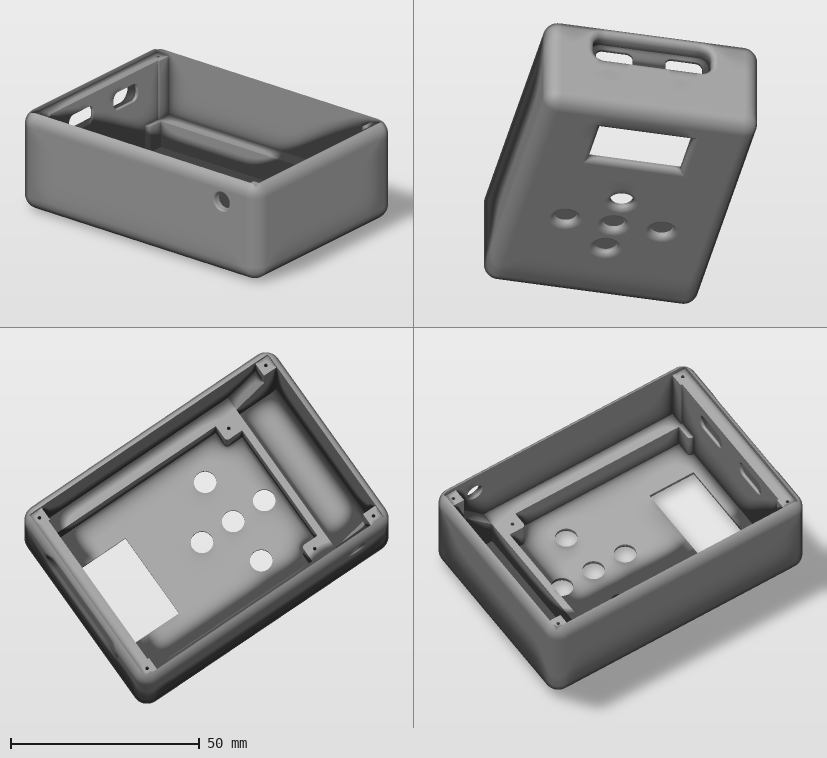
import cadquery as cq
import math

length = 81.0
width = 58.0
rim_height = 27.95
corner_radius = 4.0
wall = 2.0
floor = 2.0

lid_seat_depth = 1.45
ledge_height = 9.5
ledge_end_x = 25.6
left_wall = 5.5
post_size = 4.0

pocket_end_x = 23.65
pocket_width = 44.9
boss_width = 4.95
left_boss_length = 1.45
right_boss_length = 5.1
boss_corner_radius = 1.0

screw_diameter = 1.0
screw_depth = 6.0
board_screw_x = 21.1
board_screw_y = 20.0

button_diameter = 6.0
button_center_x = 8.6
button_pitch_x = 10.05
button_pitch_y = 13.05
window_length = 14.1
window_width = 24.95
window_x = -24.55
opening_fillet = 1.5

recess_depth = 4.5
recess_width = 32.1
recess_height = 7.9
recess_corner_radius = 3.0
recess_fillet = 1.5
recess_z = 20.6
port_width = 10.05
port_height = 4.9
port_corner_radius = 1.9
port_fillet = 0.28
port_y = 9.4

jack_diameter = 5.0
jack_fillet = 0.5
jack_x = 28.4
jack_z = 21.0

inner_right = length / 2 - wall
inner_left = -inner_right
inner_y = width / 2 - wall
seat_height = rim_height - lid_seat_depth
pocket_start_x = -length / 2 + left_wall
recess_floor_x = -length / 2 + recess_depth

pick_margin = 0.1


def block(x_min, x_max, y_size, z_min, z_max, y_center=0):
    """Rectangular block given by its X and Z limits and its Y size and center."""
    return cq.Workplane("XY").box(
        x_max - x_min, y_size, z_max - z_min, centered=(False, True, False)
    ).translate((x_min, y_center, z_min))


def cylinder(x, y, z_min, z_max, diameter):
    """Vertical cylinder between two heights."""
    return cq.Workplane("XY", origin=(x, y, z_min)).circle(diameter / 2).extrude(z_max - z_min)


def wall_opening(x_start, depth, y, y_size, z_size, radius):
    """Rounded rectangle running along +X from x_start."""
    return (
        cq.Workplane("XY")
        .box(depth, y_size, z_size, centered=(False, True, True))
        .edges("|X")
        .fillet(radius)
        .translate((x_start, y, recess_z))
    )


def round_edges(body, center, size, radius):
    """Fillet the edges whose centers lie inside a box of the given center and size."""
    low = [c - d / 2 - pick_margin for c, d in zip(center, size)]
    high = [c + d / 2 + pick_margin for c, d in zip(center, size)]
    return body.edges(cq.selectors.BoxSelector(low, high)).fillet(radius)


def outer_body():
    """Fully rounded solid box with the connector recess in its -X side."""
    rim_rise = math.sqrt(corner_radius**2 - (corner_radius - wall) ** 2)
    full_height = rim_height + corner_radius - rim_rise
    body = block(-length / 2, length / 2, width, 0, full_height).edges().fillet(corner_radius)
    recess = wall_opening(
        -length / 2, recess_depth, 0, recess_width, recess_height, recess_corner_radius
    )
    mouth_center = (-length / 2, 0, recess_z)
    mouth_size = (0, recess_width, recess_height)
    return round_edges(body.cut(recess), mouth_center, mouth_size, recess_fillet)


def pocket_boss(x_min, x_max, side, inner_face):
    """Corner boss of the board pocket, rounded on the upright edge facing the pocket's middle."""
    boss_y = side * (pocket_width - boss_width) / 2
    boss = block(x_min, x_max, boss_width, floor, ledge_height, boss_y)
    facing_edge = "<Y" if side > 0 else ">Y"
    return boss.faces(inner_face).edges("|Z").edges(facing_edge).fillet(boss_corner_radius)


def board_pocket():
    """Pocket in the ledge with solid bosses left standing in its four corners."""
    pocket = block(pocket_start_x, pocket_end_x, pocket_width, floor, ledge_height)
    for side in (-1, 1):
        pocket = pocket.cut(pocket_boss(pocket_start_x, pocket_start_x + left_boss_length, side, ">X"))
        pocket = pocket.cut(pocket_boss(pocket_end_x - right_boss_length, pocket_end_x, side, "<X"))
    return pocket


def left_post(side):
    """Square lid post standing on the ledge."""
    post_y = side * (inner_y - post_size / 2)
    return block(inner_left, inner_left + post_size, post_size, ledge_height, seat_height, post_y)


def right_post(side):
    """Lid post that widens at 45 degrees down to the edge of the ledge."""
    post_x = inner_right - post_size
    slope_top = ledge_height + post_x - ledge_end_x
    return (
        cq.Workplane("XZ", origin=(0, side * (inner_y - post_size / 2), 0))
        .moveTo(ledge_end_x, floor)
        .lineTo(inner_right, floor)
        .lineTo(inner_right, seat_height)
        .lineTo(post_x, seat_height)
        .lineTo(post_x, slope_top)
        .lineTo(ledge_end_x, ledge_height)
        .close()
        .extrude(post_size / 2, both=True)
    )


def cavity():
    """Inside space, leaving the ledge, the thick left wall and the four lid posts."""
    space = block(inner_left, inner_right, 2 * inner_y, floor, rim_height + corner_radius)
    space = space.edges(">X and <Z").fillet(wall)
    space = space.cut(block(inner_left, ledge_end_x, 2 * inner_y, floor, ledge_height))
    space = space.cut(block(inner_left, pocket_start_x, 2 * inner_y, ledge_height, seat_height))
    for side in (-1, 1):
        space = space.cut(left_post(side)).cut(right_post(side))
    return space.union(board_pocket())


def screw_holes():
    """Blind pilot holes in the four lid posts and the two wide board bosses."""
    lid_x = length / 2 - corner_radius
    lid_y = width / 2 - corner_radius
    screws = (
        (-lid_x, lid_y, seat_height),
        (lid_x, lid_y, seat_height),
        (board_screw_x, board_screw_y, ledge_height),
    )
    holes = cq.Workplane("XY")
    for x, y, top in screws:
        for side in (-1, 1):
            holes = holes.union(cylinder(x, side * y, top - screw_depth, top, screw_diameter))
    return holes


def floor_openings():
    """Display window and the cross of five button holes through the floor."""
    openings = block(
        window_x - window_length / 2, window_x + window_length / 2, window_width, 0, floor
    )
    for column, row in ((0, 0), (-1, 0), (1, 0), (0, -1), (0, 1)):
        x = button_center_x + column * button_pitch_x
        y = row * button_pitch_y
        openings = openings.union(cylinder(x, y, 0, floor, button_diameter))
    return openings


def port(y):
    """Rounded port from the recess into the cavity."""
    depth = left_wall - recess_depth
    return wall_opening(recess_floor_x, depth, y, port_width, port_height, port_corner_radius)


def jack_hole():
    """Round hole through the -Y wall."""
    return (
        cq.Workplane("XZ", origin=(jack_x, -width / 2, jack_z))
        .circle(jack_diameter / 2)
        .extrude(-wall)
    )


def round_mouths(body):
    """Round both ends of the ports and the outer edges of the jack hole and floor openings."""
    for y in (-port_y, port_y):
        for x in (recess_floor_x, pocket_start_x):
            body = round_edges(body, (x, y, recess_z), (0, port_width, port_height), port_fillet)
    jack_center = (jack_x, -width / 2, jack_z)
    body = round_edges(body, jack_center, (jack_diameter, 0, jack_diameter), jack_fillet)
    opening_zone = (2 * -pocket_start_x, pocket_width, 0)
    return round_edges(body, (0, 0, 0), opening_zone, opening_fillet)


result = outer_body().cut(cavity()).cut(floor_openings()).cut(screw_holes())
result = result.cut(port(-port_y)).cut(port(port_y)).cut(jack_hole())
result = round_mouths(result)